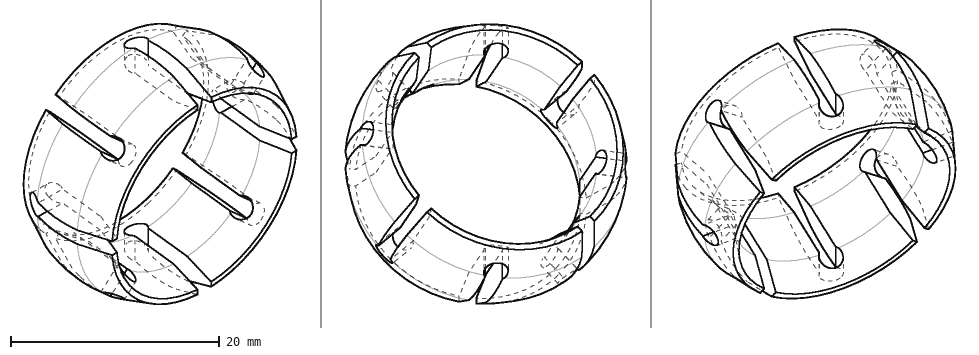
import cadquery as cq
import math

width = 12.8
sphere_radius = 13.58
middle_half_width = 2.9
end_outer_radius = 11.87
end_inner_radius = 11.25
bore_radius = 10.22

slot_width = 1.73
relief_radius = 1.17
relief_offset = 3.45
slots_per_end = 4
slot_spacing = 360 / slots_per_end

half_width = width / 2
crown_edge_radius = math.sqrt(sphere_radius**2 - middle_half_width**2)
cut_height = 1.2 * sphere_radius


def make_ring():
    """Revolve the section: crowned, tapered outside and flared bore."""
    section = (
        cq.Workplane("XY")
        .moveTo(-half_width, end_inner_radius)
        .lineTo(-half_width, end_outer_radius)
        .lineTo(-middle_half_width, crown_edge_radius)
        .threePointArc((0, sphere_radius), (middle_half_width, crown_edge_radius))
        .lineTo(half_width, end_outer_radius)
        .lineTo(half_width, end_inner_radius)
        .lineTo(middle_half_width, bore_radius)
        .lineTo(-middle_half_width, bore_radius)
        .close()
    )
    return section.revolve(360, (0, 0, 0), (1, 0, 0))


def make_slot(open_side, angle):
    """Radial slot open at +X (open_side 1) or -X (-1), turned about X from +Z."""
    hole_x = -open_side * relief_offset
    mouth_x = open_side * width
    slot = (
        cq.Workplane("XY")
        .center((hole_x + mouth_x) / 2, 0)
        .rect(abs(mouth_x - hole_x), slot_width)
        .extrude(cut_height)
    )
    relief_hole = cq.Workplane("XY").center(hole_x, 0).circle(relief_radius).extrude(cut_height)
    return slot.union(relief_hole).rotate((0, 0, 0), (1, 0, 0), angle)


result = make_ring()
for index in range(slots_per_end):
    slot_angle = index * slot_spacing
    result = result.cut(make_slot(1, slot_angle))
    result = result.cut(make_slot(-1, slot_angle + slot_spacing / 2))